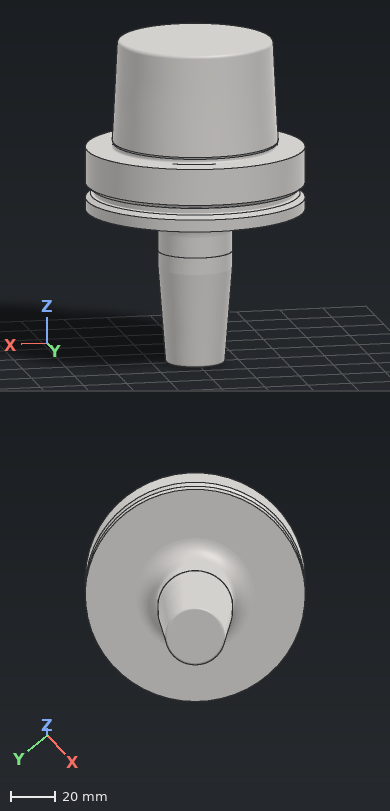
import cadquery as cq
import math


flange_radius = 50.0
flange_thickness = 29.0

groove_center_z = -20.1
groove_mouth_width = 6.8
groove_slot_width = 3.1
groove_slot_mouth_radius = 47.7
groove_bottom_radius = 46.0
groove_root_fillet = 0.4

taper_top_z = 49.9
taper_foot_z = 2.9
taper_foot_radius = 37.75
taper_ratio = 1 / 10
taper_top_fillet = 2.0

neck_radius = 37.4
neck_top_z = 2.0
neck_fillet = 1.1
relief_depth = 0.2
relief_outer_radius = 39.4

nose_tip_z = -100.0
nose_radius = 17.0
nose_flange_fillet = 10.0
nose_cylinder_end_z = -48.3
nose_cone_start_z = -56.3
nose_tip_radius = 13.5
nose_tip_fillet = 1.0
nose_half_angle = math.radians(4.5)


def turned(points):
    """Solid of revolution about Z from (radius, z) points, closed along the axis."""
    bottom_z = points[0][1]
    top_z = points[-1][1]
    outline = [(0, bottom_z)] + points + [(0, top_z)]
    return cq.Workplane("XZ").polyline(outline).close().revolve(360, (0, 0), (0, 1))


def make_flange():
    """Flange disc with its gripper groove and face relief."""
    flange = cq.Workplane("XY").circle(flange_radius).extrude(-flange_thickness)
    return flange.cut(make_groove_ring()).cut(make_face_relief())


def make_groove_ring():
    """Ring removed for the groove: flared mouth, narrow slot, rounded root."""
    half_mouth = groove_mouth_width / 2
    half_slot = groove_slot_width / 2
    outline = [
        (flange_radius, groove_center_z + half_mouth),
        (groove_slot_mouth_radius, groove_center_z + half_slot),
        (groove_bottom_radius, groove_center_z + half_slot),
        (groove_bottom_radius, groove_center_z - half_slot),
        (groove_slot_mouth_radius, groove_center_z - half_slot),
        (flange_radius, groove_center_z - half_mouth),
    ]
    ring = cq.Workplane("XZ").polyline(outline).close().revolve(360, (0, 0), (0, 1))
    return ring.edges(cq.selectors.RadiusNthSelector(0)).fillet(groove_root_fillet)


def make_face_relief():
    """Shallow dish in the flange face, ending where the neck fillet begins."""
    return turned([
        (neck_radius + neck_fillet, -relief_depth),
        (relief_outer_radius, 0),
    ])


def make_taper():
    """Neck, chamfered shoulder and clamping taper with a rounded top edge."""
    top_radius = taper_foot_radius - (taper_top_z - taper_foot_z) * taper_ratio / 2
    taper = turned([
        (neck_radius, -relief_depth),
        (neck_radius, neck_top_z),
        (taper_foot_radius, taper_foot_z),
        (top_radius, taper_top_z),
    ])
    return taper.faces(">Z").edges().fillet(taper_top_fillet)


def make_nose():
    """Shank with a slight step down to a collar, then a cone to the rounded tip."""
    cone_length = nose_cone_start_z - nose_tip_z
    cone_start_radius = nose_tip_radius + cone_length * math.tan(nose_half_angle)
    nose = turned([
        (nose_tip_radius, nose_tip_z),
        (cone_start_radius, nose_cone_start_z),
        (cone_start_radius, nose_cylinder_end_z),
        (nose_radius, nose_cylinder_end_z),
        (nose_radius, -flange_thickness),
    ])
    return nose.faces("<Z").edges().fillet(nose_tip_fillet)


def concave_fillet_ring(radius, face_z, fillet, side):
    """Fillet ring between a cylinder and a flat face; side is +1 above the face, -1 below."""
    rim_z = face_z + side * fillet
    bulge = fillet * (1 - math.sqrt(0.5))
    return (
        cq.Workplane("XZ")
        .moveTo(0, face_z)
        .lineTo(radius + fillet, face_z)
        .threePointArc((radius + bulge, face_z + side * bulge), (radius, rim_z))
        .lineTo(0, rim_z)
        .close()
        .revolve(360, (0, 0), (0, 1))
    )


neck_blend = concave_fillet_ring(neck_radius, -relief_depth, neck_fillet, 1)
nose_blend = concave_fillet_ring(nose_radius, -flange_thickness, nose_flange_fillet, -1)

result = make_flange().union(make_taper()).union(neck_blend).union(make_nose()).union(nose_blend)